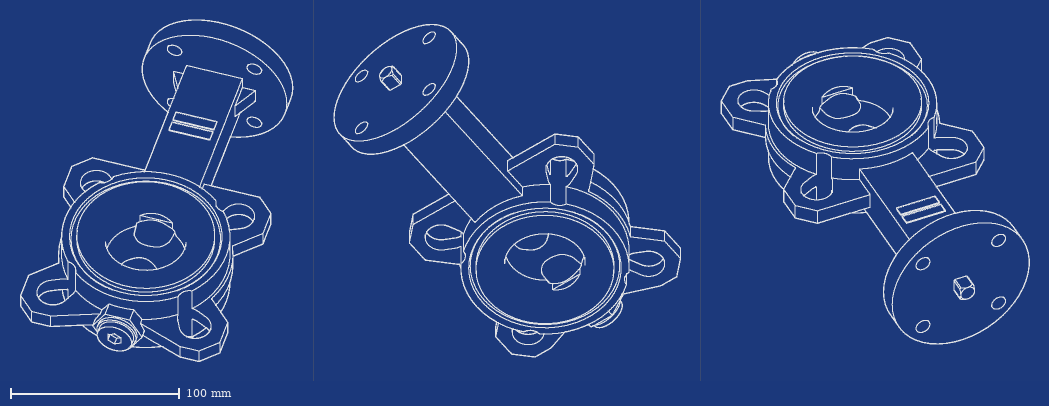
import cadquery as cq
import math


BODY_RADIUS = 50.0
BODY_HEIGHT = 43.0
LINER_RADIUS = 41.0
LINER_HEIGHT = 46.0
GROOVE_TOP_RADIUS = 45.4
GROOVE_FLOOR_RADIUS = 44.5
GROOVE_DEPTH = 2.0
BORE_RADIUS = 24.0
BORE_LIP_RADIUS = 6.0

RIM_RADIUS = 52.0
PLATE_THICKNESS = 10.0
PLATE_WIDTH = 124.0
PLATE_CORNER_CHAMFER = 10.0
LUG_SIDE_LENGTH = 16.3
LOWER_EDGE_START_X = 40.2
LOWER_EDGE_APEX_Y = -47.2

SLOT_OUTER_RADIUS = 9.5
SLOT_OUTER_DISTANCE = 62.5
SLOT_INNER_RADIUS = 7.0
SLOT_INNER_DISTANCE = 55.0

NECK_WIDTH = 34.8
NECK_THICKNESS = 26.6
LABEL_WIDTH = 25.5
LABEL_LENGTH = 6.3
LABEL_HEIGHT = 0.7
LABEL_CENTERS_Y = (100.0, 91.9)
GUSSET_REACH = 8.1
GUSSET_LENGTH = 15.0

FLANGE_DIAMETER = 90.0
FLANGE_THICKNESS = 12.5
FLANGE_BOTTOM_Y = 139.7
FLANGE_HOLE_DIAMETER = 9.0
FLANGE_HOLE_PITCH = 49.7
STEM_END_Y = 161.8
STEM_SIZE = 9.0
STEM_CORNER_RADIUS = 5.9
STEM_TIP_CHAMFER = 1.4

PLUG_END_Y = -63.9
PLUG_HEX_FLATS = 26.6
PLUG_HEX_END_Y = -57.8
PLUG_COLLAR_RADIUS = 12.2
PLUG_COLLAR_END_Y = -59.8
PLUG_TIP_DIAMETER = 21.5
SOCKET_FLATS = 8.1
SOCKET_DEPTH = 4.5

DISC_THICKNESS = 5.9
PAD_Y = 21.7
PAD_HALF_HEIGHT = 12.6
HUB_RADIUS = 11.3
HUB_FLANK_ANGLE = 32.0
HUB_TIP_Y = 5.0
HUB_HEAD_Y = 12.2
HUB_HEAD_HALF_WIDTH = 11.0
HUB_ROOT_HALF_WIDTH = 12.5
HUB_SHOULDER_FILLET = 6.8
HUB_FOOT_FILLET = 2.0
HUB_ROOT_Y = 24.8

ROOT_Y = 40.6

SELECTION_MARGIN = 0.2


def disk_z(radius, height):
    """Cylinder along Z, centred on the origin."""
    return cq.Workplane("XY").circle(radius).extrude(height / 2, both=True)


def along_y(start_y, end_y, sketch):
    """Extrude a profile, drawn in X and Z, from start_y to a larger end_y."""
    plane = cq.Workplane("XZ", origin=(0, start_y, 0))
    return sketch(plane).extrude(start_y - end_y)


def cylinder_y(radius, start_y, end_y):
    return along_y(start_y, end_y, lambda plane: plane.circle(radius))


def hexagon_y(across_flats, start_y, end_y, turn=0):
    """Hexagonal bar along Y; unturned, its corners point along X."""
    corners = across_flats / math.cos(math.radians(30))
    bar = along_y(start_y, end_y, lambda plane: plane.polygon(6, corners))
    return bar.rotate((0, 0, 0), (0, 1, 0), turn)


def edges_within(reach, low_z, high_z):
    """Selector for edges inside |X|, |Y| <= reach and low_z <= Z <= high_z."""
    reach += SELECTION_MARGIN
    low_corner = (-reach, -reach, low_z - SELECTION_MARGIN)
    high_corner = (reach, reach, high_z + SELECTION_MARGIN)
    return cq.selectors.BoxSelector(low_corner, high_corner, boundingbox=True)


def make_lug_plate():
    side = PLATE_WIDTH / 2
    corner = side - PLATE_CORNER_CHAMFER
    lug_end = corner - LUG_SIDE_LENGTH
    waist = side - lug_end
    half = [
        (0, side),
        (corner, side),
        (side, corner),
        (side, lug_end),
        (waist, 0),
        (side, -lug_end),
        (side, -corner),
        (corner, -side),
        (LOWER_EDGE_START_X, -side),
        (0, LOWER_EDGE_APEX_Y),
    ]
    outline = cq.Workplane("XY").polyline(half).mirrorY()
    plate = outline.extrude(PLATE_THICKNESS / 2, both=True)
    return plate.union(disk_z(RIM_RADIUS, PLATE_THICKNESS))


def make_bolt_slot():
    """Tapered slot along +X, with round ends tangent to its straight sides."""
    spread = (SLOT_OUTER_RADIUS - SLOT_INNER_RADIUS) / (SLOT_OUTER_DISTANCE - SLOT_INNER_DISTANCE)
    along = -spread
    across = math.sqrt(1 - spread**2)

    def tangent_point(distance, radius, side):
        return (distance + radius * along, side * radius * across)

    outer_end = (SLOT_OUTER_DISTANCE + SLOT_OUTER_RADIUS, 0)
    inner_end = (SLOT_INNER_DISTANCE - SLOT_INNER_RADIUS, 0)
    return (
        cq.Workplane("XY")
        .moveTo(*tangent_point(SLOT_INNER_DISTANCE, SLOT_INNER_RADIUS, 1))
        .lineTo(*tangent_point(SLOT_OUTER_DISTANCE, SLOT_OUTER_RADIUS, 1))
        .threePointArc(outer_end, tangent_point(SLOT_OUTER_DISTANCE, SLOT_OUTER_RADIUS, -1))
        .lineTo(*tangent_point(SLOT_INNER_DISTANCE, SLOT_INNER_RADIUS, -1))
        .threePointArc(inner_end, tangent_point(SLOT_INNER_DISTANCE, SLOT_INNER_RADIUS, 1))
        .close()
        .extrude(LINER_HEIGHT, both=True)
    )


def make_neck():
    neck = along_y(ROOT_Y, FLANGE_BOTTOM_Y, lambda plane: plane.rect(NECK_WIDTH, NECK_THICKNESS))
    labels = (
        cq.Workplane("XY", origin=(0, 0, NECK_THICKNESS / 2))
        .pushPoints([(0, y) for y in LABEL_CENTERS_Y])
        .rect(LABEL_WIDTH, LABEL_LENGTH)
        .extrude(LABEL_HEIGHT)
    )
    half_width = NECK_WIDTH / 2
    gusset_foot_y = FLANGE_BOTTOM_Y - GUSSET_LENGTH
    gussets = (
        cq.Workplane("XY")
        .polyline([
            (-half_width - GUSSET_REACH, FLANGE_BOTTOM_Y),
            (half_width + GUSSET_REACH, FLANGE_BOTTOM_Y),
            (half_width, gusset_foot_y),
            (-half_width, gusset_foot_y),
        ])
        .close()
        .extrude(PLATE_THICKNESS / 2, both=True)
    )
    return neck.union(labels).union(gussets)


def make_flange():
    flange_top_y = FLANGE_BOTTOM_Y + FLANGE_THICKNESS
    flange = cylinder_y(FLANGE_DIAMETER / 2, FLANGE_BOTTOM_Y, flange_top_y)
    holes = along_y(
        FLANGE_BOTTOM_Y,
        flange_top_y,
        lambda plane: plane.rect(FLANGE_HOLE_PITCH, FLANGE_HOLE_PITCH, forConstruction=True)
        .vertices()
        .circle(FLANGE_HOLE_DIAMETER / 2),
    )
    return flange.cut(holes)


def make_stem():
    """Square drive whose corners and tip are turned down."""
    turned = cylinder_y(STEM_CORNER_RADIUS, FLANGE_BOTTOM_Y, STEM_END_Y)
    turned = turned.faces(">Y").chamfer(STEM_TIP_CHAMFER)
    square = along_y(FLANGE_BOTTOM_Y, STEM_END_Y, lambda plane: plane.rect(STEM_SIZE, STEM_SIZE))
    return square.intersect(turned)


def make_plug():
    plug = hexagon_y(PLUG_HEX_FLATS, PLUG_HEX_END_Y, -ROOT_Y)
    plug = plug.union(cylinder_y(PLUG_COLLAR_RADIUS, PLUG_COLLAR_END_Y, -ROOT_Y))
    plug = plug.union(cylinder_y(PLUG_TIP_DIAMETER / 2, PLUG_END_Y, -ROOT_Y))
    return plug.cut(hexagon_y(SOCKET_FLATS, PLUG_END_Y, PLUG_END_Y + SOCKET_DEPTH, turn=30))


def make_face_groove():
    """Ring groove between liner and body on the upper face, with a tapered outer wall."""
    top = LINER_HEIGHT / 2
    face = BODY_HEIGHT / 2
    floor = face - GROOVE_DEPTH
    return (
        cq.Workplane("XZ")
        .polyline([
            (LINER_RADIUS, top),
            (LINER_RADIUS, floor),
            (GROOVE_FLOOR_RADIUS, floor),
            (GROOVE_TOP_RADIUS, face),
            (GROOVE_TOP_RADIUS, top),
        ])
        .close()
        .revolve(360, (0, 0), (0, 1))
    )


def make_ring():
    """Solid body and liner with a groove in each face."""
    ring = disk_z(BODY_RADIUS, BODY_HEIGHT).union(disk_z(LINER_RADIUS, LINER_HEIGHT))
    groove = make_face_groove()
    return ring.cut(groove).cut(groove.mirror("XY"))


def make_pad():
    """Flat on the bore wall at +Y, with sloped upper and lower faces."""
    slope_rise = BORE_RADIUS - PAD_Y
    root_half_height = PAD_HALF_HEIGHT + slope_rise
    wedge = (
        cq.Workplane("YZ")
        .polyline([
            (PAD_Y, PAD_HALF_HEIGHT),
            (BORE_RADIUS, root_half_height),
            (BORE_RADIUS, -root_half_height),
            (PAD_Y, -PAD_HALF_HEIGHT),
        ])
        .close()
        .extrude(BORE_RADIUS, both=True)
    )
    return wedge.intersect(disk_z(BORE_RADIUS, LINER_HEIGHT))


def make_hub_roof():
    """Space under the +Y hub's skin: a round ridge with tangent flanks, swung down over the head."""
    face = DISC_THICKNESS / 2
    angle = math.radians(HUB_FLANK_ANGLE)
    tangent_x = HUB_RADIUS * math.sin(angle)
    tangent_z = HUB_RADIUS * math.cos(angle)
    foot_x = tangent_x + (tangent_z - face) / math.tan(angle)

    def section(plane):
        return (
            plane.moveTo(-foot_x, face)
            .lineTo(-tangent_x, tangent_z)
            .threePointArc((0, HUB_RADIUS), (tangent_x, tangent_z))
            .lineTo(foot_x, face)
            .close()
        )

    ridge = along_y(HUB_HEAD_Y, HUB_ROOT_Y, section)
    head_plane = cq.Workplane("XZ", origin=(0, HUB_HEAD_Y, 0))
    head = section(head_plane).revolve(90, (-foot_x, face), (foot_x, face))
    return ridge.union(head)


def make_hub():
    """Upper half of the +Y shaft hub: a round-headed post trimmed to its roof."""
    post = (
        cq.Workplane("XY", origin=(0, 0, DISC_THICKNESS / 2))
        .moveTo(HUB_HEAD_HALF_WIDTH, HUB_HEAD_Y)
        .lineTo(HUB_ROOT_HALF_WIDTH, HUB_ROOT_Y)
        .lineTo(-HUB_ROOT_HALF_WIDTH, HUB_ROOT_Y)
        .lineTo(-HUB_HEAD_HALF_WIDTH, HUB_HEAD_Y)
        .threePointArc((0, HUB_TIP_Y), (HUB_HEAD_HALF_WIDTH, HUB_HEAD_Y))
        .close()
        .extrude(HUB_RADIUS)
        .edges("|Z and (not >Y)")
        .fillet(HUB_SHOULDER_FILLET)
    )
    return post.intersect(make_hub_roof())


def make_disc():
    """Disc plate with a hub on both faces at both ends of the stem axis, filleted at the foot."""
    hub = make_hub()
    hub_pair = hub.union(hub.mirror("XZ"))
    disc = disk_z(2 * BORE_RADIUS, DISC_THICKNESS).union(hub_pair).union(hub_pair.mirror("XY"))
    face = DISC_THICKNESS / 2
    for level in (face, -face):
        foot_edges = edges_within(HUB_ROOT_Y, level, level)
        disc = disc.edges(foot_edges).fillet(HUB_FOOT_FILLET)
    return disc.intersect(disk_z(BORE_RADIUS, LINER_HEIGHT))


body = make_ring().union(make_lug_plate()).union(make_neck()).union(make_plug())

bolt_slot = make_bolt_slot()
for diagonal in (45, 135, 225, 315):
    body = body.cut(bolt_slot.rotate((0, 0, 0), (0, 0, 1), diagonal))

body = body.cut(disk_z(BORE_RADIUS, LINER_HEIGHT))
bore_edges = edges_within(BORE_RADIUS, -LINER_HEIGHT / 2, LINER_HEIGHT / 2)
body = body.edges("%CIRCLE").edges(bore_edges).fillet(BORE_LIP_RADIUS)

disc = make_disc()
pad = make_pad()
disc = disc.union(pad).union(pad.mirror("XZ"))

result = body.union(disc).union(make_flange()).union(make_stem())